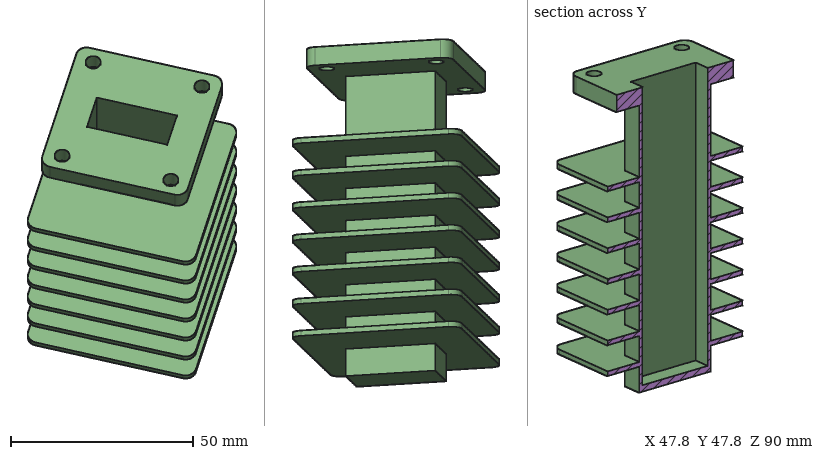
import cadquery as cq

total_height = 90.0
tube_x = 25.4
tube_y = 12.7
bore_x = 22.9
bore_y = 10.2
end_cap_thickness = 2.1

flange_side = 41.4
flange_thickness = 5.2
flange_corner_radius = 3.0
bolt_spacing_x = 31.0
bolt_spacing_y = 32.5
bolt_hole_diameter = 4.1

fin_side = 47.8
fin_thickness = 1.5
fin_corner_radius = 3.0
fin_count = 7
fin_pitch = 9.1
lowest_fin_bottom = 7.65


def rounded_plate(side, thickness, corner_radius, bottom):
    """Square plate with rounded vertical edges, centred on the tube axis."""
    plate = cq.Workplane("XY").workplane(offset=bottom).rect(side, side).extrude(thickness)
    return plate.edges("|Z").fillet(corner_radius)


body = cq.Workplane("XY").rect(tube_x, tube_y).extrude(total_height)

for index in range(fin_count):
    fin_bottom = lowest_fin_bottom + index * fin_pitch
    body = body.union(rounded_plate(fin_side, fin_thickness, fin_corner_radius, fin_bottom))

flange_bottom = total_height - flange_thickness
body = body.union(rounded_plate(flange_side, flange_thickness, flange_corner_radius, flange_bottom))

bore = (
    cq.Workplane("XY")
    .workplane(offset=end_cap_thickness)
    .rect(bore_x, bore_y)
    .extrude(total_height - end_cap_thickness)
)
body = body.cut(bore)

bolt_holes = (
    cq.Workplane("XY")
    .workplane(offset=flange_bottom)
    .rect(bolt_spacing_x, bolt_spacing_y, forConstruction=True)
    .vertices()
    .circle(bolt_hole_diameter / 2)
    .extrude(flange_thickness)
)
result = body.cut(bolt_holes)